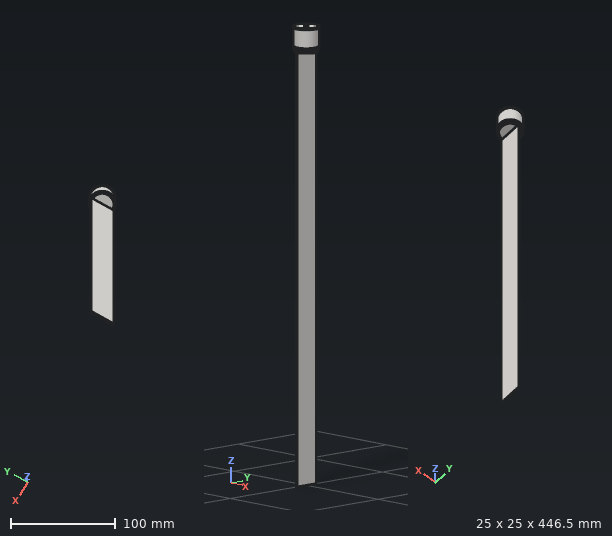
import cadquery as cq

total_length = 446.5
head_diameter = 25.0
head_length = 25.0

lid_thickness = 1.8
sleeve_length = 18.0
flange_thickness = 3.2
core_diameter = 22.0
flange_top_chamfer = 1.0
flange_bottom_chamfer = 0.5
hex_across_flats = 4.0
hex_depth = 1.0

sleeve_taper_height = 0.75
sleeve_taper_inset = 0.2

blade_width = head_diameter
blade_thickness = 1.5

head_bottom = total_length - head_length
sleeve_top = total_length - lid_thickness
sleeve_bottom = sleeve_top - sleeve_length
flange_bottom = sleeve_bottom - flange_thickness
blade_length = flange_bottom

head_radius = head_diameter / 2
core_radius = core_diameter / 2


def disc(bottom, top, radius):
    """Solid cylinder on the Z axis between two heights."""
    return cq.Workplane("XY").workplane(offset=bottom).circle(radius).extrude(top - bottom)


def make_blade():
    """Flat strip from Z = 0 up to the underside of the flange."""
    return cq.Workplane("XY").box(
        blade_thickness, blade_width, blade_length, centered=(True, True, False)
    )


def make_flange():
    """Disc below the sleeve, chamfered on both rims."""
    flange = disc(flange_bottom, sleeve_bottom, head_radius)
    flange = flange.faces(">Z").chamfer(flange_top_chamfer)
    return flange.faces("<Z").chamfer(flange_bottom_chamfer)


def make_hex_socket():
    """Hexagonal recess in the lid, with two corners on the Y axis."""
    socket = cq.Workplane("XY").workplane(offset=total_length - hex_depth)
    return socket.polygon(6, hex_across_flats, circumscribed=True).extrude(hex_depth)


def make_core(blade):
    """Lid, neck, flange and plug in one piece, with the hex socket and the blade slot."""
    lid = disc(sleeve_top, total_length, head_radius)
    neck_and_plug = disc(head_bottom, sleeve_top, core_radius)
    core = neck_and_plug.union(lid).union(make_flange())
    return core.cut(make_hex_socket()).cut(blade).solids()


def make_sleeve():
    """Ring between lid and flange, tapered at both outer ends."""
    sleeve = disc(sleeve_bottom, sleeve_top, head_radius)
    sleeve = sleeve.faces(">Z").chamfer(sleeve_taper_height, sleeve_taper_inset)
    sleeve = sleeve.faces("<Z").chamfer(sleeve_taper_height, sleeve_taper_inset)
    return sleeve.cut(disc(sleeve_bottom, sleeve_top, core_radius))


blade = make_blade()
core = make_core(blade)
sleeve = make_sleeve()

result = cq.Compound.makeCompound([core.val(), sleeve.val(), blade.val()])